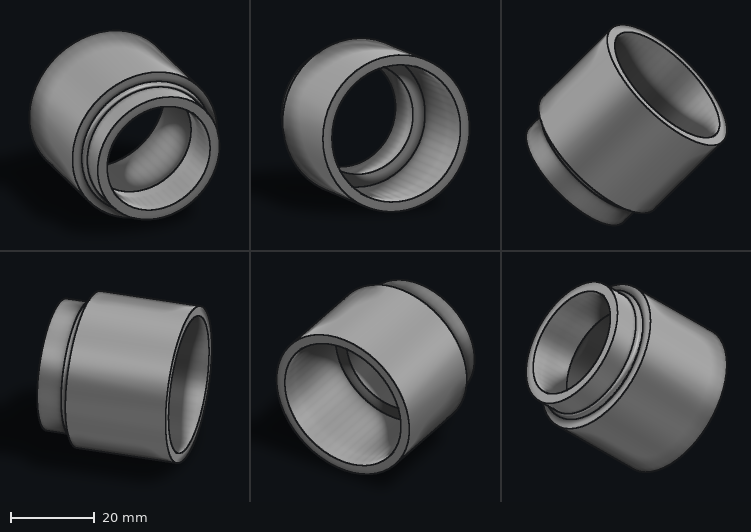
import cadquery as cq

sleeve_diameter = 38.0
sleeve_length = 25.0
overall_length = 33.0
spigot_diameter = 32.0
socket_diameter = 33.2
socket_depth = 22.0
bore_diameter = 26.98
ring_section_diameter = 1.98
ring_outer_diameter = 33.82


def cylinder(diameter, start, length):
    """Solid cylinder along +X, beginning at X = start."""
    return cq.Workplane("YZ", origin=(start, 0, 0)).circle(diameter / 2).extrude(length)


def sealing_ring():
    """Round-section ring around the spigot, touching the sleeve shoulder."""
    section_radius = ring_section_diameter / 2
    center_x = sleeve_length + section_radius
    center_radius = ring_outer_diameter / 2 - section_radius
    return (
        cq.Workplane("XY")
        .center(center_x, center_radius)
        .circle(section_radius)
        .revolve(360, (-center_x, -center_radius), (0.38 - center_x, -center_radius))
    )


sleeve = cylinder(sleeve_diameter, 0, sleeve_length)
spigot = cylinder(spigot_diameter, 0, overall_length)
body = sleeve.union(spigot).union(sealing_ring())

socket = cylinder(socket_diameter, 0, socket_depth)
bore = cylinder(bore_diameter, 0, overall_length)
result = body.cut(socket).cut(bore)